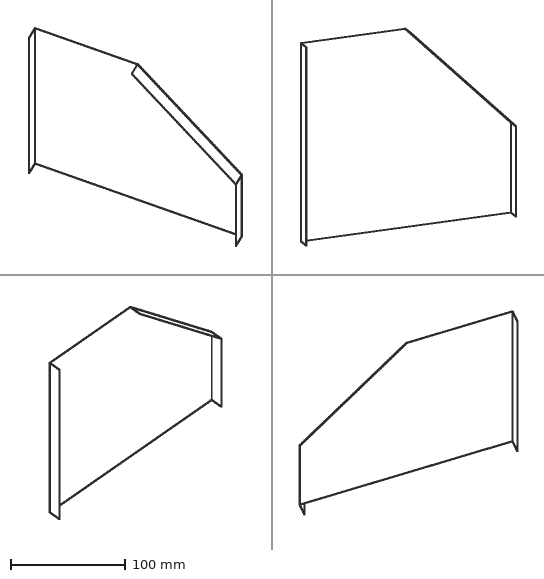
import cadquery as cq

overall_width = 200.0
panel_height = 184.0
corner_cut = 100.5
sheet = 0.55
total_depth = 12.5

panel_left = sheet
panel_right = overall_width - sheet
cut_start_x = panel_right - corner_cut
cut_end_z = panel_height - corner_cut


def side_flange(left_x, height):
    """Vertical flange running the full depth of the part."""
    return cq.Workplane("XY").box(sheet, total_depth, height, centered=False).translate((left_x, 0, 0))


def sloped_flange():
    """Flange on the outside of the 45 degree edge, with square-cut ends."""
    edge_length = corner_cut * 2**0.5
    return (
        cq.Workplane("XY")
        .box(edge_length, total_depth, sheet, centered=False)
        .rotate((0, 0, 0), (0, 1, 0), 45)
        .translate((cut_start_x, 0, panel_height))
    )


panel = (
    cq.Workplane("XZ", origin=(0, total_depth, 0))
    .moveTo(panel_left, 0)
    .lineTo(panel_right, 0)
    .lineTo(panel_right, cut_end_z)
    .lineTo(cut_start_x, panel_height)
    .lineTo(panel_left, panel_height)
    .close()
    .extrude(sheet)
)

result = (
    panel
    .union(side_flange(0, panel_height))
    .union(side_flange(panel_right, cut_end_z))
    .union(sloped_flange())
)